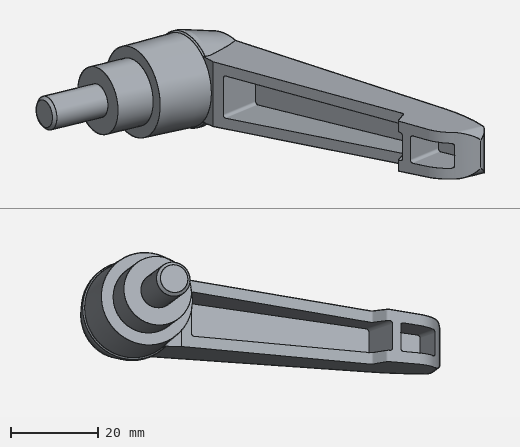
import cadquery as cq
import math


hub_radius = 23.0 / 2
hub_rim_chamfer = 0.4
hub_band_top = 1.7
hub_cone_slope = 0.24
hub_blank_top = 14.6
barrel_top_radius = hub_radius - hub_rim_chamfer
barrel_bottom_radius = 10.8
barrel_bottom = -14.2
collar_radius = 16.0 / 2
collar_bottom = -24.1
stud_radius = 8.0 / 2
stud_bottom = -39.2
stud_chamfer = 0.7

button_radius = 5.1
button_top = 12.8
button_chamfer = 0.7

rise_angle = 14.8
rise_sin = math.sin(math.radians(rise_angle))
rise_cos = math.cos(math.radians(rise_angle))
top_at_axis = 11.1
top_straight_end = 64.05

overall_length = 91.5
overall_height = 68.5
tip_x = overall_length - hub_radius
crown = (74.1, overall_height + stud_bottom)
nose_start = (77.4, 29.2)
nose_middle = (79.15, 28.55)
nose_end = (tip_x, 26.9)
front_middle = (79.3, 24.5)
front_end = (77.4, 21.2)
chin_middle = (75.4, 18.9)
chin_end = (73.0, 17.5)
notch_tip = (64.6, 14.55)
notch_root = (61.7, 18.3)
heel = (11.8, 0.0)
notch_fillet = 0.7

half_width_at_axis = 8.3
width_slope = 0.034
tip_corner_radius = 2.6

wall = 2.65
pocket_skin = 1.8
pocket_reach = 36.6
pocket_corner = 0.7
arm_pocket_start = (14.5, 1.0)
arm_pocket_end = (65.8, 15.0)
head_pocket_start = (67.9, 15.7)
head_pocket_end = (77.5, 21.3)
head_pocket_skin = 2.8


def top_height(x):
    """Height of the sloping top plane at x."""
    return top_at_axis + x * rise_sin / rise_cos


def half_width(x):
    """Half width of the lever in Z at x."""
    return half_width_at_axis - width_slope * x


def distance_along_top(point):
    """Position of an (X, Y) point measured along the sloping top plane."""
    x, y = point
    return x * rise_cos + (y - top_at_axis) * rise_sin


def turned_body():
    cone_top_radius = hub_radius - hub_cone_slope * (hub_blank_top - hub_band_top)
    body = (
        cq.Workplane("XY")
        .polyline([
            (0, stud_bottom),
            (stud_radius - stud_chamfer, stud_bottom),
            (stud_radius, stud_bottom + stud_chamfer),
            (stud_radius, collar_bottom),
            (collar_radius, collar_bottom),
            (collar_radius, barrel_bottom),
            (barrel_bottom_radius, barrel_bottom),
            (barrel_top_radius, 0),
            (hub_radius, hub_rim_chamfer),
            (hub_radius, hub_band_top),
            (cone_top_radius, hub_blank_top),
            (0, hub_blank_top),
        ])
        .close()
        .revolve(360, (0, 0, 0), (0, 1, 0))
    )
    left = -2 * hub_radius
    right = 2 * hub_radius
    clear_height = 2 * hub_blank_top
    above_top = (
        cq.Workplane("XY")
        .polyline([
            (left, top_height(left)),
            (right, top_height(right)),
            (right, clear_height),
            (left, clear_height),
        ])
        .close()
        .extrude(2 * hub_radius, both=True)
    )
    return body.cut(above_top)


def lever():
    side = (
        cq.Workplane("XY")
        .moveTo(0, 0)
        .lineTo(0, top_at_axis)
        .lineTo(top_straight_end, top_height(top_straight_end))
        .tangentArcPoint(crown, relative=False)
        .lineTo(*nose_start)
        .threePointArc(nose_middle, nose_end)
        .threePointArc(front_middle, front_end)
        .threePointArc(chin_middle, chin_end)
        .lineTo(*notch_tip)
        .lineTo(*notch_root)
        .lineTo(*heel)
        .close()
        .extrude(half_width_at_axis, both=True)
    )
    for corner in (notch_tip, notch_root):
        side = side.edges(cq.selectors.NearestToPointSelector((*corner, 0))).fillet(notch_fillet)
    plan = (
        cq.Workplane("XZ")
        .polyline([
            (0, -half_width(0)),
            (tip_x, -half_width(tip_x)),
            (tip_x, half_width(tip_x)),
            (0, half_width(0)),
        ])
        .close()
        .extrude(-2 * crown[1])
        .edges("|Y and >X")
        .fillet(tip_corner_radius)
    )
    return side.intersect(plan)


def pocket(start, end, skin):
    """Tapered pocket reaching from below up to skin under the sloping top plane."""
    floor_plane = cq.Plane(
        origin=(skin * rise_sin, top_at_axis - skin * rise_cos, 0),
        xDir=(rise_cos, rise_sin, 0),
        normal=(rise_sin, -rise_cos, 0),
    )
    near = distance_along_top(start)
    far = distance_along_top(end)
    near_half = half_width(start[0]) - wall
    far_half = half_width(end[0]) - wall
    return (
        cq.Workplane(floor_plane)
        .polyline([(near, -near_half), (far, -far_half), (far, far_half), (near, near_half)])
        .close()
        .extrude(pocket_reach)
        .edges(cq.selectors.ParallelDirSelector(floor_plane.zDir))
        .fillet(pocket_corner)
    )


def screw_head():
    return (
        cq.Workplane("XZ")
        .circle(button_radius)
        .extrude(-button_top)
        .faces(">Y")
        .chamfer(button_chamfer)
    )


arm = (
    lever()
    .cut(pocket(arm_pocket_start, arm_pocket_end, pocket_skin))
    .cut(pocket(head_pocket_start, head_pocket_end, head_pocket_skin))
)
result = turned_body().union(arm).union(screw_head())